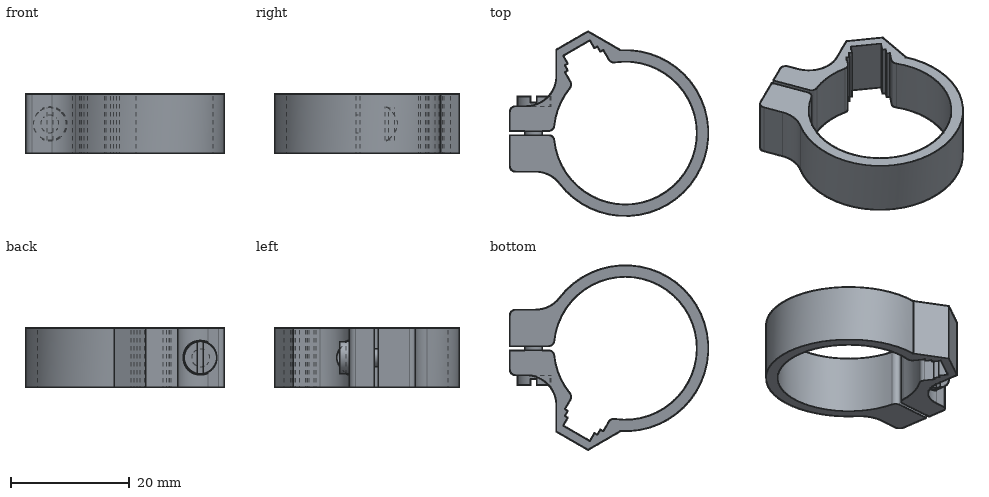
import cadquery as cq
import math

height = 10.0
outer_radius = 14.0
inner_radius = 12.0

overall_length = 33.45
lug_end_x = outer_radius - overall_length
gap_width = 0.67
upper_lug_top = 4.55
lower_lug_bottom = -6.52
small_radius = 1.0
blend_radius = 5.02

roof_angle = math.radians(30)
roof_apex_x = -6.3
roof_apex_y = 17.13
roof_half_width = 5.35
roof_left_x = roof_apex_x - roof_half_width
roof_right_x = roof_apex_x + roof_half_width
roof_eave_y = roof_apex_y - roof_half_width * math.tan(roof_angle)

mouth_floor_x = -8.215
mouth_floor_y = 14.305
mouth_floor_half_width = 2.58
tooth_step = 0.57
tooth_depths = (1.55, 2.55)
mouth_depth = 8.35

screw_x = -15.45
shank_diameter = 3.0
head_diameter = 5.5
head_height = 1.65
head_recess_diameter = 5.8
slot_width = 1.0
slot_depth = 1.0


def upper_body():
    """Upper lug, its concave blend into the wall, and the roof above the ring."""
    blend_x = roof_left_x - blend_radius
    blend_y = upper_lug_top + blend_radius
    diagonal = blend_radius * math.sqrt(0.5)
    return (
        cq.Workplane("XY")
        .moveTo(lug_end_x, 0)
        .lineTo(lug_end_x, upper_lug_top - small_radius)
        .radiusArc((lug_end_x + small_radius, upper_lug_top), small_radius)
        .lineTo(blend_x, upper_lug_top)
        .threePointArc((blend_x + diagonal, blend_y - diagonal), (roof_left_x, blend_y))
        .lineTo(roof_left_x, roof_eave_y)
        .lineTo(roof_apex_x, roof_apex_y)
        .lineTo(roof_right_x, roof_eave_y)
        .lineTo(roof_right_x, 0)
        .close()
        .extrude(height)
    )


def lower_body():
    """Lower lug, with a concave blend tangent to the ring."""
    blend_y = lower_lug_bottom - blend_radius
    blend_distance = outer_radius + blend_radius
    blend_x = -math.sqrt(blend_distance**2 - blend_y**2)
    tangent_scale = outer_radius / blend_distance
    tangent_point = (blend_x * tangent_scale, blend_y * tangent_scale)
    return (
        cq.Workplane("XY")
        .moveTo(lug_end_x, 0)
        .lineTo(lug_end_x, lower_lug_bottom + small_radius)
        .radiusArc((lug_end_x + small_radius, lower_lug_bottom), -small_radius)
        .lineTo(blend_x, lower_lug_bottom)
        .radiusArc(tangent_point, blend_radius)
        .lineTo(0, 0)
        .close()
        .extrude(height)
    )


def mouth_point(across, depth):
    """Point in the mouth, measured along its floor and away from the floor."""
    x = mouth_floor_x + across * math.cos(roof_angle) + depth * math.sin(roof_angle)
    y = mouth_floor_y + across * math.sin(roof_angle) - depth * math.cos(roof_angle)
    return (x, y)


def mouth_cutter():
    half_width = mouth_floor_half_width
    profile = [(half_width, 0)]
    for depth in tooth_depths:
        profile.append((half_width, depth))
        half_width += tooth_step
        profile.append((half_width, depth))
    profile.append((half_width, mouth_depth))
    mirrored = [(-across, depth) for across, depth in reversed(profile)]
    points = [mouth_point(across, depth) for across, depth in profile + mirrored]
    return cq.Workplane("XY").polyline(points).close().extrude(height)


def round_bore_corners(body):
    """Round the vertical edges where the gap and the mouth meet the bore."""
    gap_corner_x = -math.sqrt(inner_radius**2 - (gap_width / 2) ** 2)
    corners = [(gap_corner_x, gap_width / 2), (gap_corner_x, -gap_width / 2)]

    mouth_half_width = mouth_floor_half_width + tooth_step * len(tooth_depths)
    for across in (-mouth_half_width, mouth_half_width):
        x, y = mouth_point(across, 0)
        along = x * math.sin(roof_angle) - y * math.cos(roof_angle)
        depth = -along - math.sqrt(along**2 + inner_radius**2 - x**2 - y**2)
        corners.append(mouth_point(across, depth))

    for x, y in corners:
        edge = cq.selectors.NearestToPointSelector((x, y, height / 2))
        body = body.edges("|Z").edges(edge).fillet(small_radius)
    return body


def y_cylinder(diameter, start_y, end_y):
    """Cylinder on the screw axis between two Y positions."""
    return (
        cq.Workplane("XZ", origin=(screw_x, start_y, height / 2))
        .circle(diameter / 2)
        .extrude(start_y - end_y)
    )


def screw():
    head_top = upper_lug_top + head_height
    shank = y_cylinder(shank_diameter, lower_lug_bottom, upper_lug_top)
    head = y_cylinder(head_diameter, upper_lug_top, head_top)
    slot = cq.Workplane("XY").box(slot_width, 2 * slot_depth, head_diameter)
    slot = slot.translate((screw_x, head_top, height / 2))
    return shank.union(head).cut(slot)


ring = cq.Workplane("XY").circle(outer_radius).extrude(height)
bore = cq.Workplane("XY").circle(inner_radius).extrude(height)
gap = (
    cq.Workplane("XY")
    .rect(2 * overall_length, gap_width)
    .extrude(height)
    .translate((-overall_length, 0, 0))
)
head_recess = y_cylinder(head_recess_diameter, upper_lug_top, roof_apex_y)

clamp = ring.union(upper_body()).union(lower_body())
clamp = clamp.cut(bore).cut(mouth_cutter()).cut(gap)
clamp = round_bore_corners(clamp).cut(head_recess)

result = clamp.union(screw())